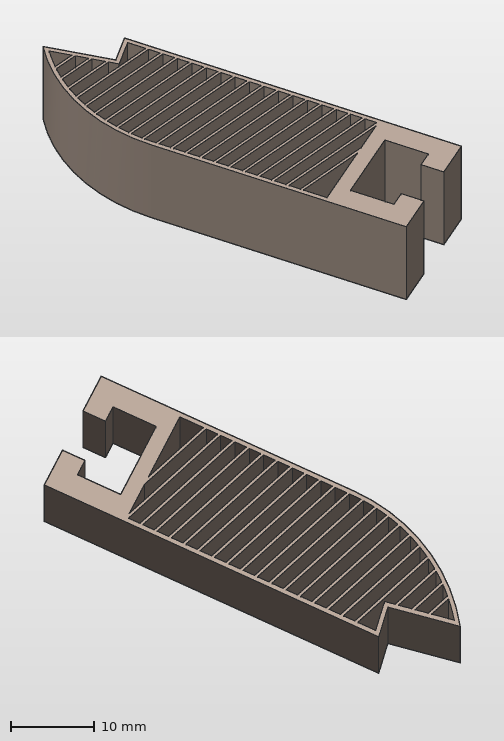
import cadquery as cq
import math

LENGTH = 52.8
WIDTH = 15.6
HEIGHT = 12.0

TIP_Y = 10.1
NOSE_END_X = 19.05
NOTCH_TILT = math.radians(10)
NOTCH_FLOOR = 9.05

WALL = 0.6
CAVITY_END_X = 42.05

RIB_THICKNESS = 0.35
RIB_PITCH = 1.8
RIB_COUNT = 21
RIB_TILT = math.radians(20)
LAST_RIB_X = 38.5
RIBS_UNDER_NOTCH = 3

SLOT_START_X = 44.05
LIP_LENGTH = 3.0
SLOT_WIDTH = 9.7
MOUTH_WIDTH = 5.6


def profile(end_x, inset=0.0):
    """Body from the nose to end_x, with every other side moved inwards by inset."""
    cos_tilt = math.cos(NOTCH_TILT)
    sin_tilt = math.sin(NOTCH_TILT)

    corner_x = NOTCH_FLOOR * cos_tilt + inset * (cos_tilt + sin_tilt)
    corner_y = TIP_Y + NOTCH_FLOOR * sin_tilt - inset * (cos_tilt - sin_tilt)
    top_y = WIDTH - inset
    notch_top_x = corner_x - (top_y - corner_y) * math.tan(NOTCH_TILT)

    center_y = (NOSE_END_X**2 + TIP_Y**2) / (2 * TIP_Y)
    radius = center_y - inset

    away_x = corner_x - NOSE_END_X
    away_y = corner_y - center_y
    along = away_x * cos_tilt + away_y * sin_tilt
    across = away_y * cos_tilt - away_x * sin_tilt
    floor_length = along + math.sqrt(radius**2 - across**2)
    tip_x = corner_x - floor_length * cos_tilt
    tip_y = corner_y - floor_length * sin_tilt

    half_sweep = math.asin((NOSE_END_X - tip_x) / radius) / 2
    arc_middle = (
        NOSE_END_X - radius * math.sin(half_sweep),
        center_y - radius * math.cos(half_sweep),
    )
    return (
        cq.Workplane("XY")
        .moveTo(end_x, top_y)
        .lineTo(notch_top_x, top_y)
        .lineTo(corner_x, corner_y)
        .lineTo(tip_x, tip_y)
        .threePointArc(arc_middle, (NOSE_END_X, inset))
        .lineTo(end_x, inset)
        .close()
        .extrude(HEIGHT)
    )


def box_on_base(x_start, x_end, y_start, y_end):
    """Full-height block between the given limits."""
    return (
        cq.Workplane("XY")
        .box(x_end - x_start, y_end - y_start, HEIGHT, centered=False)
        .translate((x_start, y_start, 0))
    )


def rib(base_x, top_y):
    """One slanted rib from y = 0 up to top_y."""
    half_span = RIB_THICKNESS / math.cos(RIB_TILT) / 2
    shift = top_y * math.tan(RIB_TILT)
    return (
        cq.Workplane("XY")
        .polyline([
            (base_x - half_span, 0),
            (base_x + half_span, 0),
            (base_x + half_span + shift, top_y),
            (base_x - half_span + shift, top_y),
        ])
        .close()
        .extrude(HEIGHT)
    )


def t_slot():
    """Wide chamber plus the narrower mouth between the two lips."""
    middle_y = WIDTH / 2
    chamber = box_on_base(
        SLOT_START_X, LENGTH - LIP_LENGTH, middle_y - SLOT_WIDTH / 2, middle_y + SLOT_WIDTH / 2
    )
    mouth = box_on_base(
        SLOT_START_X, LENGTH, middle_y - MOUTH_WIDTH / 2, middle_y + MOUTH_WIDTH / 2
    )
    return chamber.union(mouth)


notch_corner_y = TIP_Y + NOTCH_FLOOR * math.sin(NOTCH_TILT)
rib_step_x = RIB_PITCH / math.cos(RIB_TILT)
openings = profile(CAVITY_END_X, WALL)
for index in range(RIB_COUNT):
    under_notch = index >= RIB_COUNT - RIBS_UNDER_NOTCH
    rib_top_y = notch_corner_y if under_notch else WIDTH
    openings = openings.cut(rib(LAST_RIB_X - index * rib_step_x, rib_top_y))

result = profile(LENGTH).cut(openings).cut(t_slot())